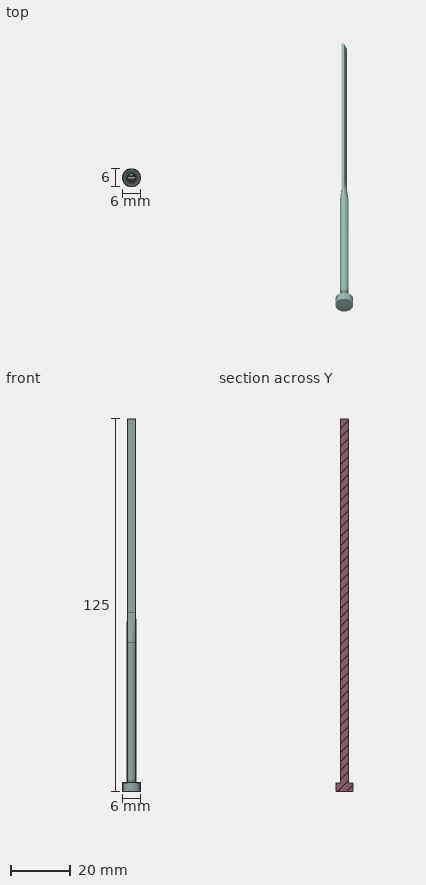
import cadquery as cq
import math

HEAD_DIAMETER = 6.0
HEAD_HEIGHT = 3.0
SHAFT_DIAMETER = 3.0
SHAFT_TOP = 50.0
TRANSITION_LENGTH = 10.0
OVERALL_LENGTH = 125.0
BLADE_WIDTH = 2.8
BLADE_THICKNESS = 0.8

SHAFT_RADIUS = SHAFT_DIAMETER / 2
BLADE_BASE = SHAFT_TOP + TRANSITION_LENGTH


def make_head_and_shaft():
    """Round head with the round shaft above it."""
    head = cq.Workplane("XY").circle(HEAD_DIAMETER / 2).extrude(HEAD_HEIGHT)
    shaft = cq.Workplane("XY").circle(SHAFT_RADIUS).extrude(SHAFT_TOP)
    return head.union(shaft)


def make_transition():
    """Ruled blend from the full shaft circle to the blade's rectangle."""
    half_width = BLADE_WIDTH / 2
    half_thickness = BLADE_THICKNESS / 2
    half_diagonal = math.hypot(half_width, half_thickness)
    circle_x = SHAFT_RADIUS * half_width / half_diagonal
    circle_y = SHAFT_RADIUS * half_thickness / half_diagonal
    return (
        cq.Workplane("XY", origin=(0, 0, SHAFT_TOP))
        .moveTo(-circle_x, -circle_y)
        .threePointArc((0, -SHAFT_RADIUS), (circle_x, -circle_y))
        .threePointArc((SHAFT_RADIUS, 0), (circle_x, circle_y))
        .threePointArc((0, SHAFT_RADIUS), (-circle_x, circle_y))
        .threePointArc((-SHAFT_RADIUS, 0), (-circle_x, -circle_y))
        .close()
        .workplane(offset=TRANSITION_LENGTH)
        .moveTo(-half_width, -half_thickness)
        .lineTo(half_width, -half_thickness)
        .lineTo(half_width, half_thickness)
        .lineTo(-half_width, half_thickness)
        .close()
        .loft(ruled=True, combine=False)
    )


def make_blade():
    """Thin rectangular blade up to the tip."""
    return (
        cq.Workplane("XY", origin=(0, 0, BLADE_BASE))
        .rect(BLADE_WIDTH, BLADE_THICKNESS)
        .extrude(OVERALL_LENGTH - BLADE_BASE)
    )


result = make_head_and_shaft().union(make_transition()).union(make_blade())